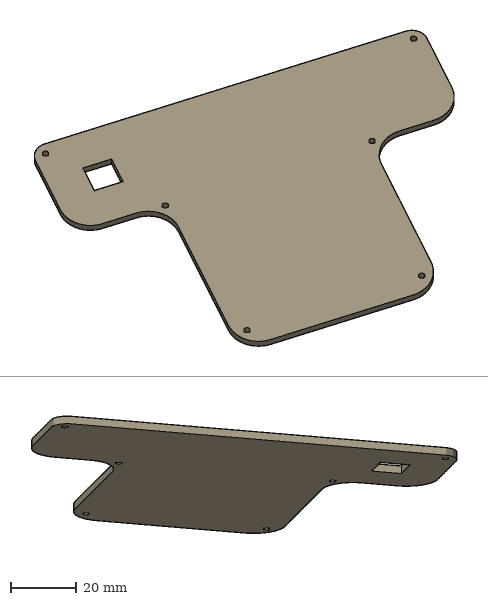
import cadquery as cq

length_x = 96.9
length_y = 129.6
thickness = 2.5

bar_width = 35.6
tongue_width = 67.1
bar_corner_radius = 5.0
large_radius = 10.0

hole_diameter = 2.0
bar_hole = (3.6, 60.9)
inner_hole = (36.2, 34.2)
tongue_hole = (90.8, 28.9)

window_size = 9.5
window_center = (17.9, -47.5)


def make_plate():
    """T-shaped plate: a long bar with a wide tongue on its +X side."""
    bar = cq.Workplane("XY").box(bar_width, length_y, thickness, centered=(False, True, False))
    tongue = cq.Workplane("XY").box(length_x, tongue_width, thickness, centered=(False, True, False))
    plate = bar.union(tongue).clean()
    plate = plate.edges("|Z and <X").fillet(bar_corner_radius)

    large_corners = [
        (bar_width, length_y / 2),
        (bar_width, tongue_width / 2),
        (length_x, tongue_width / 2),
    ]
    for x, y in large_corners:
        for side in (-1, 1):
            corner = cq.selectors.NearestToPointSelector((x, side * y, thickness / 2))
            plate = plate.edges("|Z").edges(corner).fillet(large_radius)
    return plate


def make_hole_cutters():
    """Mirrored pairs of through-hole cylinders."""
    points = [(x, side * y) for x, y in (bar_hole, inner_hole, tongue_hole) for side in (-1, 1)]
    return cq.Workplane("XY").pushPoints(points).circle(hole_diameter / 2).extrude(thickness)


def make_window_cutter():
    """Square through-window near the -Y end of the bar."""
    return cq.Workplane("XY").center(*window_center).rect(window_size, window_size).extrude(thickness)


result = make_plate().cut(make_hole_cutters()).cut(make_window_cutter())